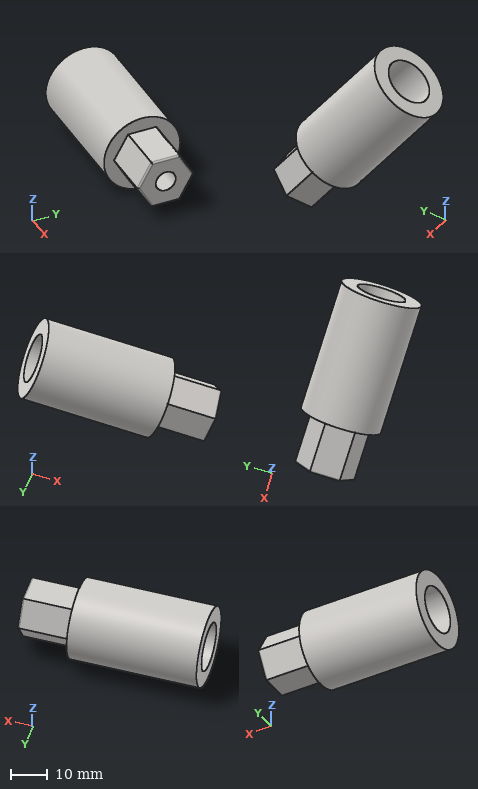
import cadquery as cq
import math

TOTAL_LENGTH = 52.0

SLEEVE_LENGTH = 37.0
SLEEVE_DIAMETER = 23.0
SLEEVE_BORE_DIAMETER = 13.6

HEX_LENGTH = TOTAL_LENGTH - SLEEVE_LENGTH
HEX_ACROSS_FLATS = 14.7
HEX_ACROSS_CORNERS = HEX_ACROSS_FLATS / math.cos(math.pi / 6)
HEX_HOLE_DIAMETER = 6.0
HEX_END_FILLET = 0.5


def make_sleeve():
    """Plain tube, bored right through, starting at X = 0."""
    return (
        cq.Workplane("YZ")
        .circle(SLEEVE_DIAMETER / 2)
        .circle(SLEEVE_BORE_DIAMETER / 2)
        .extrude(SLEEVE_LENGTH)
    )


def make_hex_drive():
    """Hexagon seated on the sleeve's end face, with corners on +Y and -Y."""
    prism = (
        cq.Workplane("YZ")
        .workplane(offset=SLEEVE_LENGTH)
        .polygon(6, HEX_ACROSS_CORNERS)
        .extrude(HEX_LENGTH)
    )
    rounded = prism.faces(">X").edges().fillet(HEX_END_FILLET)
    return rounded.faces(">X").workplane().hole(HEX_HOLE_DIAMETER)


sleeve = make_sleeve()
hex_drive = make_hex_drive()

result = cq.Compound.makeCompound([sleeve.val(), hex_drive.val()])